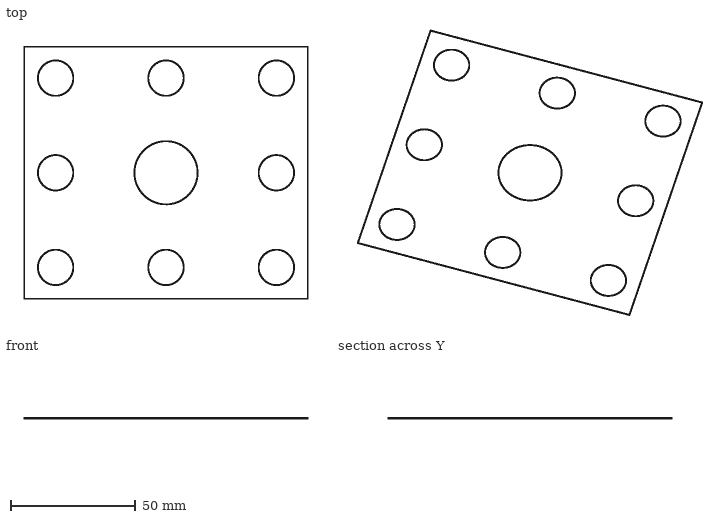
import cadquery as cq

length = 114.3
width = 101.6
thickness = 0.25

center_hole_diameter = 25.4
outer_hole_diameter = 14.2
edge_inset = 12.7
hole_pitch_x = length / 2 - edge_inset
hole_pitch_y = width / 2 - edge_inset

outer_hole_centers = [
    (column * hole_pitch_x, row * hole_pitch_y)
    for column in (-1, 0, 1)
    for row in (-1, 0, 1)
    if (column, row) != (0, 0)
]

plate = cq.Workplane("XY").box(length, width, thickness)
plate = plate.faces(">Z").workplane().hole(center_hole_diameter)
result = (
    plate.faces(">Z")
    .workplane(origin=(0, 0, 0))
    .pushPoints(outer_hole_centers)
    .hole(outer_hole_diameter)
)